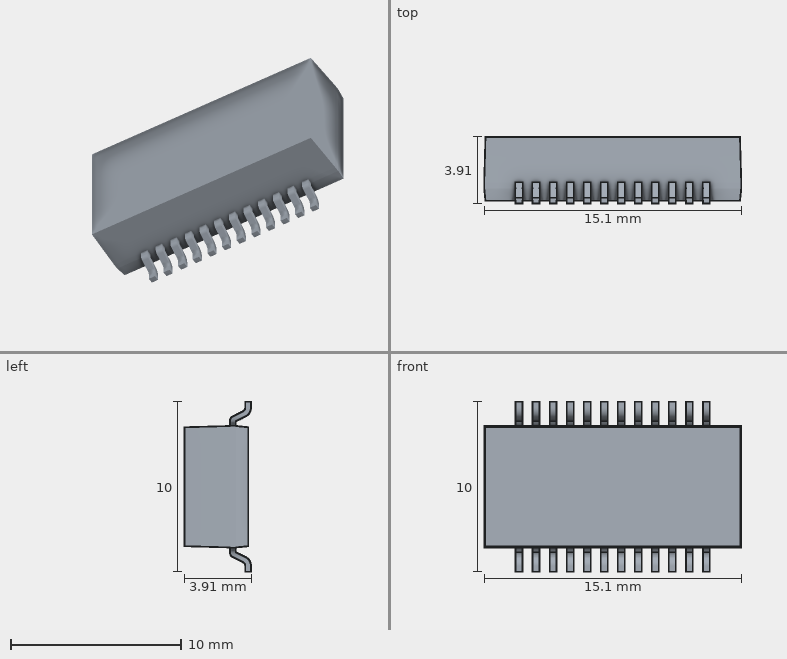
import cadquery as cq
import math

body_length = 15.1
body_height = 7.14
body_front = 0.15
body_back = 3.91
front_inset = 0.08
back_inset = 0.08

leads_per_row = 12
lead_row_span = 11.0
lead_pitch = lead_row_span / (leads_per_row - 1)
lead_width = 0.42
lead_thickness = 0.35
lead_tip = 5.0
foot_length = 0.36
foot_bend_radius = 0.23
root_bend_radius = 0.27
web_angle = math.radians(63.5)
root_front = 0.89
root_depth = 0.75

band_front = root_front
band_back = root_front + lead_thickness


def drafted_block(base_y, end_y, inset):
    """Block that narrows by `inset` per side from the band face to its outer face."""
    direction = 1 if end_y > base_y else -1
    base_plane = cq.Plane(origin=(0, base_y, 0), xDir=(1, 0, 0), normal=(0, direction, 0))
    return (
        cq.Workplane(base_plane)
        .rect(body_length, body_height)
        .workplane(offset=abs(end_y - base_y))
        .rect(body_length - 2 * inset, body_height - 2 * inset)
        .loft(ruled=True)
    )


def make_body():
    """Parting band with a drafted block in front of it and a deeper one behind."""
    band_middle = (band_front + band_back) / 2
    band = cq.Workplane("XY", origin=(0, band_middle, 0)).box(body_length, lead_thickness, body_height)
    front_block = drafted_block(band_front, body_front, front_inset)
    back_block = drafted_block(band_back, body_back, back_inset)
    return band.union(front_block).union(back_block)


def arc_point(center, radius, angle):
    """Point on a bend circle; the angle turns from -Y towards -Z."""
    return (
        center[0] - radius * math.cos(angle),
        center[1] - radius * math.sin(angle),
    )


def make_lead():
    """Upper lead centred on X = 0: root, sloping web and flat foot."""
    foot_center = (lead_thickness + foot_bend_radius, lead_tip - foot_length)
    foot_outer_radius = foot_bend_radius + lead_thickness
    web_start = arc_point(foot_center, foot_outer_radius, web_angle)

    root_corner_z = web_start[1] - (root_front - web_start[0]) / math.tan(web_angle)
    bend_center_y = band_back - root_bend_radius
    bend_center_z = root_corner_z + (lead_thickness - root_bend_radius) * math.tan(web_angle / 2)
    root_bend_middle = (
        bend_center_y + root_bend_radius * math.cos(web_angle / 2),
        bend_center_z + root_bend_radius * math.sin(web_angle / 2),
    )
    root_bend_end = (
        bend_center_y + root_bend_radius * math.cos(web_angle),
        bend_center_z + root_bend_radius * math.sin(web_angle),
    )
    root_end = body_height / 2 - root_depth

    return (
        cq.Workplane("YZ", origin=(-lead_width / 2, 0, 0))
        .moveTo(0, lead_tip)
        .lineTo(0, foot_center[1])
        .threePointArc(arc_point(foot_center, foot_outer_radius, web_angle / 2), web_start)
        .lineTo(root_front, root_corner_z)
        .lineTo(root_front, root_end)
        .lineTo(band_back, root_end)
        .lineTo(band_back, bend_center_z)
        .threePointArc(root_bend_middle, root_bend_end)
        .lineTo(*arc_point(foot_center, foot_bend_radius, web_angle))
        .threePointArc(
            arc_point(foot_center, foot_bend_radius, web_angle / 2),
            (lead_thickness, foot_center[1]),
        )
        .lineTo(lead_thickness, lead_tip)
        .close()
        .extrude(lead_width)
    )


result = make_body()
upper_lead = make_lead()
lower_lead = upper_lead.mirror("XY")
for index in range(leads_per_row):
    lead_x = index * lead_pitch - lead_row_span / 2
    result = result.union(upper_lead.translate((lead_x, 0, 0)))
    result = result.union(lower_lead.translate((lead_x, 0, 0)))